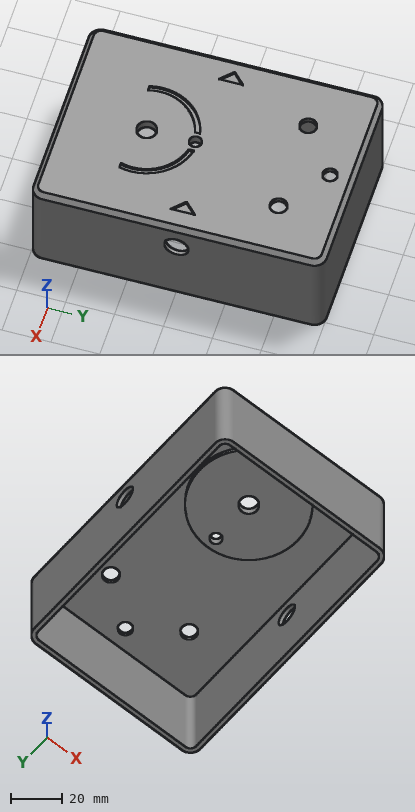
import cadquery as cq

length = 120.0
width = 85.0
height = 42.0
corner_radius = 5.0
top_chamfer = 2.0
wall = 2.0

cavity_width = width - 2 * wall
cavity_length = length - 2 * wall
cavity_height = height - wall
cavity_corner_radius = corner_radius - wall

switch_y = -25.0
switch_diameter = 8.0
pad_diameter = 50.0
pad_thickness = 2.0

knob_x = 20.0
knob_y = 35.0
knob_diameter = 7.0
toggle_y = 50.0
toggle_diameter = 6.0
led_y = -5.0
led_diameter = 5.0

jack_diameter = 9.8
jack_z = 30.0

engraving_depth = 1.0
arc_outer_diameter = 42.0
arc_width = 2.0
arc_gap = 8.5
arc_drop = 5.0
arrow_length = 5.0
arrow_height = 10.0
arrow_y = 0.0
out_arrow_tip_x = -36.5
in_arrow_tip_x = 28.7


def rounded_block(size_x, size_y, size_z, radius):
    """Block standing on Z = 0 with rounded vertical edges."""
    block = cq.Workplane("XY").box(size_x, size_y, size_z, centered=(True, True, False))
    return block.edges("|Z").fillet(radius)


def make_case():
    """Hollow case with a chamfered lid and the pad under it."""
    outside = rounded_block(width, length, height, corner_radius)
    outside = outside.faces(">Z").chamfer(top_chamfer)
    cavity = rounded_block(cavity_width, cavity_length, cavity_height, cavity_corner_radius)
    pad = (
        cq.Workplane("XY", origin=(0, switch_y, cavity_height - pad_thickness))
        .circle(pad_diameter / 2)
        .extrude(pad_thickness + wall / 2)
    )
    return outside.cut(cavity).union(pad)


def lid_hole(x, y, diameter):
    """Vertical cutter for a round hole through the lid."""
    return cq.Workplane("XY").center(x, y).circle(diameter / 2).extrude(height)


def jack_holes():
    """Cutter along X through both side walls."""
    cutter = cq.Workplane("YZ").center(0, jack_z).circle(jack_diameter / 2)
    return cutter.extrude(width / 2, both=True)


def lid_engraving():
    """Workplane on the bottom of the engravings."""
    return cq.Workplane("XY", origin=(0, 0, height - engraving_depth))


def arc_engraving():
    """Ring around the foot switch, open below it and at the LED."""
    outer_radius = arc_outer_diameter / 2
    ring = (
        lid_engraving()
        .center(0, switch_y)
        .circle(outer_radius)
        .circle(outer_radius - arc_width)
        .extrude(engraving_depth)
    )
    led_gap = lid_engraving().center(0, led_y).rect(arc_gap, outer_radius).extrude(engraving_depth)
    lower_part = (
        lid_engraving()
        .center(0, switch_y - arc_drop - outer_radius / 2)
        .rect(arc_outer_diameter, outer_radius)
        .extrude(engraving_depth)
    )
    return ring.cut(led_gap).cut(lower_part)


def arrow_engraving(tip_x):
    """Triangle pointing toward -X."""
    base_x = tip_x + arrow_length
    return (
        lid_engraving()
        .moveTo(tip_x, arrow_y)
        .lineTo(base_x, arrow_y - arrow_height / 2)
        .lineTo(base_x, arrow_y + arrow_height / 2)
        .close()
        .extrude(engraving_depth)
    )


lid_holes = [
    (0, toggle_y, toggle_diameter),
    (-knob_x, knob_y, knob_diameter),
    (knob_x, knob_y, knob_diameter),
    (0, led_y, led_diameter),
    (0, switch_y, switch_diameter),
]

result = make_case().cut(jack_holes()).cut(arc_engraving())
for x, y, diameter in lid_holes:
    result = result.cut(lid_hole(x, y, diameter))
for tip_x in (out_arrow_tip_x, in_arrow_tip_x):
    result = result.cut(arrow_engraving(tip_x))